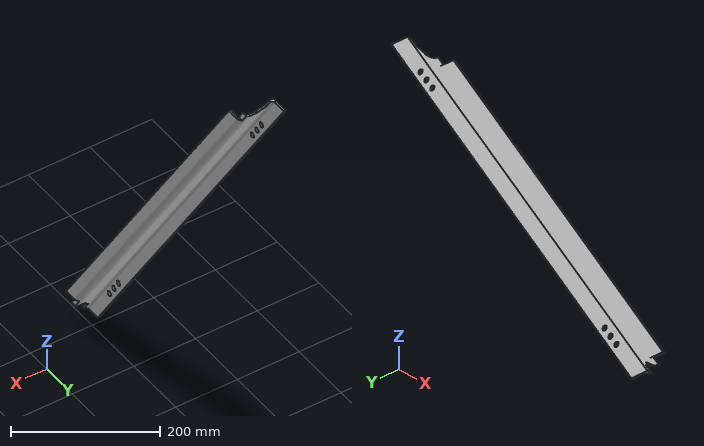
import cadquery as cq
import math

height = 697.0
depth = 475.5
width = 36.0
plate_run = 30.0
lean = math.atan2(depth - plate_run, height)

sheet = 3.5
plate_width = plate_run * math.cos(lean)
flange_rise = 21.5
bend_radius = 6.0
corner_fillet = 4.0
flange_x = width - sheet

web_setback = 28.0
flange_setback = 44.0
tongue_length = 16.0
tongue_width = 8.5
cope_slant = 9.0

hole_diameter = 8.0
hole_pitch = 20.0
holes_per_end = 3
first_hole_height = 64.0
hole_inset = 13.0


def make_section():
    """Section across the rail: X along the web, second axis across the plate."""
    web_top = plate_width
    web_bottom = web_top - sheet
    flange_top = web_top + flange_rise
    outer_radius = bend_radius + sheet
    bend_x = flange_x - bend_radius
    bend_y = web_top + bend_radius
    diagonal = math.sqrt(0.5)
    fillet_inset = corner_fillet * (1 - diagonal)
    return (
        cq.Workplane("XY")
        .moveTo(0, 0)
        .lineTo(sheet, 0)
        .lineTo(sheet, web_bottom - corner_fillet)
        .threePointArc(
            (sheet + fillet_inset, web_bottom - fillet_inset),
            (sheet + corner_fillet, web_bottom),
        )
        .lineTo(bend_x, web_bottom)
        .threePointArc(
            (bend_x + outer_radius * diagonal, bend_y - outer_radius * diagonal),
            (width, bend_y),
        )
        .lineTo(width, flange_top)
        .lineTo(flange_x, flange_top)
        .lineTo(flange_x, bend_y)
        .threePointArc(
            (bend_x + bend_radius * diagonal, bend_y - bend_radius * diagonal),
            (bend_x, web_top),
        )
        .lineTo(0, web_top)
        .close()
    )


def make_leaning_rail():
    """Extrude past both ends, then lean the rail so that its top moves towards +Y."""
    overrun = 70.0
    length = height / math.cos(lean) + 2 * overrun
    rail = make_section().extrude(length).translate((0, 0, -overrun))
    rail = rail.mirror("XZ")
    rail = rail.rotate((0, 0, 0), (1, 0, 0), -math.degrees(lean))
    return rail.translate((0, plate_run, 0))


def make_end_outline():
    """Front silhouette with coped ends, extruded through the whole depth."""
    cope_x = tongue_width + cope_slant
    lower_edge = [
        (0, 0),
        (tongue_width, 0),
        (tongue_width, tongue_length),
        (cope_x, tongue_length + cope_slant),
        (cope_x, web_setback),
        (flange_x, web_setback),
        (flange_x, flange_setback),
        (width, flange_setback),
    ]
    upper_edge = [(x, height - z) for x, z in reversed(lower_edge)]
    silhouette = cq.Workplane("XZ").polyline(lower_edge + upper_edge).close()
    return silhouette.extrude(2 * depth, both=True)


def make_hole_pins():
    """Pins along X through the plate, in a row near each end."""
    rise = hole_pitch * math.cos(lean)
    row = [first_hole_height + i * rise for i in range(holes_per_end)]
    heights = row + [height - z for z in row]
    centres = [(depth - hole_inset - (height - z) * math.tan(lean), z) for z in heights]
    pins = cq.Workplane("YZ").pushPoints(centres).circle(hole_diameter / 2)
    return pins.extrude(sheet)


result = make_leaning_rail().intersect(make_end_outline()).cut(make_hole_pins())